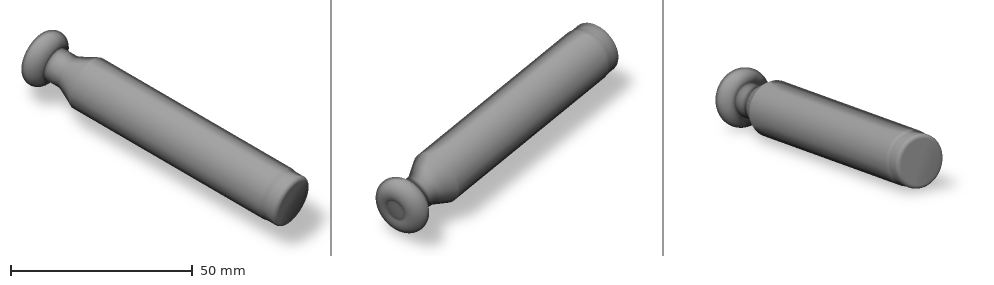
import cadquery as cq
import math

TOTAL_LENGTH = 90.0
SHAFT_RADIUS = 16.0 / 2
NECK_RADIUS = 10.0 / 2

RING_TUBE_RADIUS = 6.9 / 2
RING_CENTRE_RADIUS = NECK_RADIUS
RING_CENTRE_X = RING_TUBE_RADIUS
NECK_START_X = 0.5

SHOULDER_END_X = 18.3
SHOULDER_ANGLE = math.radians(25.5)
SHOULDER_FILLET = 4.5

TAIL_RADIUS = 15.5 / 2
TAPER_START_X = 84.6
TAPER_LENGTH = 1.35
END_FILLET = 1.1


def shoulder_fillet_point(angle):
    """Offset from the start of the shoulder fillet after turning by an angle."""
    return SHOULDER_FILLET * math.sin(angle), SHOULDER_FILLET * (1 - math.cos(angle))


def make_ring():
    """Solid ring with a round section, coaxial with the pin."""
    return (
        cq.Workplane("XY")
        .center(RING_CENTRE_X, RING_CENTRE_RADIUS)
        .circle(RING_TUBE_RADIUS)
        .revolve(360, (0, -RING_CENTRE_RADIUS), (1, -RING_CENTRE_RADIUS))
    )


def make_pin(ring):
    """Turned pin with a round groove that seats the ring."""
    fillet_length, fillet_rise = shoulder_fillet_point(SHOULDER_ANGLE)
    mid_length, mid_rise = shoulder_fillet_point(SHOULDER_ANGLE / 2)
    cone_start_radius = NECK_RADIUS + fillet_rise
    cone_start_x = SHOULDER_END_X - (SHAFT_RADIUS - cone_start_radius) / math.tan(SHOULDER_ANGLE)
    neck_end_x = cone_start_x - fillet_length

    blank = (
        cq.Workplane("XY")
        .moveTo(NECK_START_X, 0)
        .lineTo(NECK_START_X, NECK_RADIUS)
        .lineTo(neck_end_x, NECK_RADIUS)
        .threePointArc(
            (neck_end_x + mid_length, NECK_RADIUS + mid_rise),
            (cone_start_x, cone_start_radius),
        )
        .lineTo(SHOULDER_END_X, SHAFT_RADIUS)
        .lineTo(TAPER_START_X, SHAFT_RADIUS)
        .lineTo(TAPER_START_X + TAPER_LENGTH, TAIL_RADIUS)
        .lineTo(TOTAL_LENGTH, TAIL_RADIUS)
        .lineTo(TOTAL_LENGTH, 0)
        .close()
        .revolve(360, (0, 0), (1, 0))
    )
    rounded = blank.faces(">X").edges().fillet(END_FILLET)
    return rounded.cut(ring).solids()


ring = make_ring()
pin = make_pin(ring)

result = cq.Compound.makeCompound([pin.val(), ring.val()])